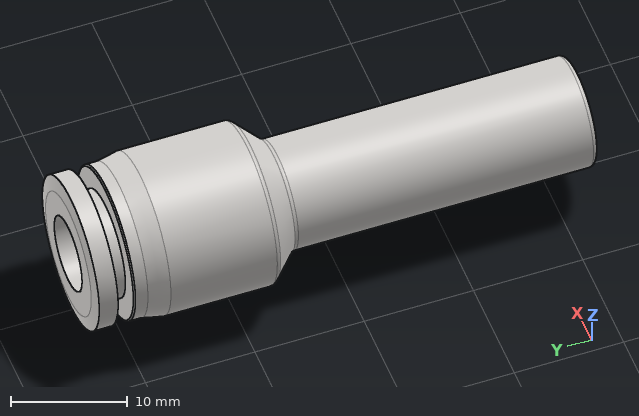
import cadquery as cq

length = 46.65
body_diameter = 14.8

rim_diameter = 14.0
crown_diameter = 11.2
neck_diameter = 9.8
tube_diameter = 10.0
bore_diameter = 6.8

crown_height = 0.25
collar_end = 1.95
body_start = 3.4
taper_start = 4.65
taper_end = 6.62
shoulder_start = 16.55

body_rim_chamfer = 0.15
shoulder_fillet = 0.5
tube_end_fillet = 0.45

body_radius = body_diameter / 2
rim_radius = rim_diameter / 2
crown_radius = crown_diameter / 2
neck_radius = neck_diameter / 2
tube_radius = tube_diameter / 2

shoulder_end = shoulder_start + body_radius - tube_radius
collar_face = length / 2

outline = [
    (0, 0),
    (crown_radius, 0),
    (rim_radius, crown_height),
    (rim_radius, collar_end),
    (neck_radius, collar_end),
    (neck_radius, body_start),
    (rim_radius - body_rim_chamfer, body_start),
    (rim_radius, body_start + body_rim_chamfer),
    (rim_radius, taper_start),
    (body_radius, taper_end),
    (body_radius, shoulder_start),
    (tube_radius, shoulder_end),
    (tube_radius, length),
    (0, length),
]


def ring_at(radius, distance):
    """Select the circular edge of a given radius at a distance from the collar end."""
    margin = 0.05
    y = collar_face - distance
    reach = radius + margin
    return cq.selectors.BoxSelector(
        (-reach, y - margin, -reach), (reach, y + margin, reach), boundingbox=True
    )


profile = [(radius, collar_face - distance) for radius, distance in outline]
fitting = cq.Workplane("XY").polyline(profile).close().revolve(360, (0, 0, 0), (0, 1, 0))

fitting = fitting.edges(ring_at(body_radius, shoulder_start)).fillet(shoulder_fillet)
fitting = fitting.edges(ring_at(tube_radius, shoulder_end)).fillet(shoulder_fillet)
fitting = fitting.edges(ring_at(tube_radius, length)).fillet(tube_end_fillet)

bore = (
    cq.Workplane("XZ", origin=(0, collar_face, 0))
    .circle(bore_diameter / 2)
    .extrude(length)
)
result = fitting.cut(bore)